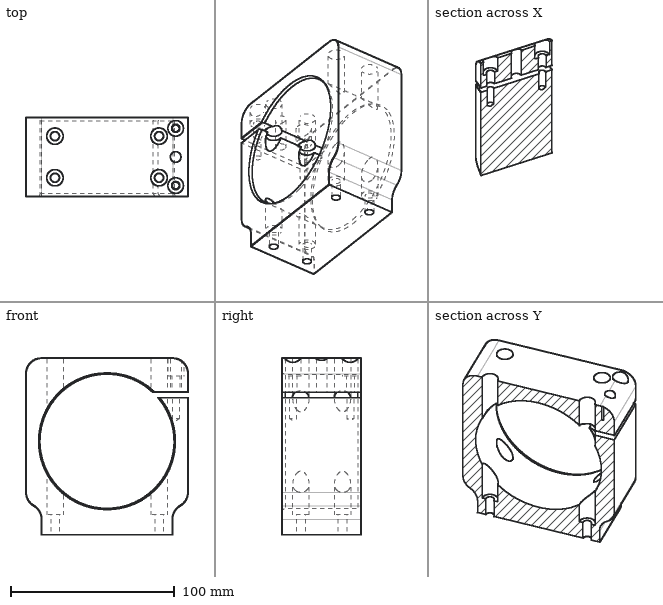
import cadquery as cq
import math

WIDTH = 99.06
DEPTH = 48.26
HEIGHT = 107.95
CORNER_RADIUS = 9.525

FOOT_STEP = CORNER_RADIUS
FOOT_SIDE_HEIGHT = 9.525
STEP_ARC_ANGLE = math.acos(1 - FOOT_STEP / (2 * CORNER_RADIUS))
STEP_HEIGHT = 2 * CORNER_RADIUS * math.sin(STEP_ARC_ANGLE)

BORE_DIAMETER = 81.9
BORE_AXIS_HEIGHT = 57.15
BORE_CHAMFER_WIDTH = 0.8
BORE_CHAMFER_DEPTH = 1.9

SLOT_WIDTH = 3.175
SLOT_BOTTOM = 83.82
SLOT_TOP = SLOT_BOTTOM + SLOT_WIDTH

MOUNT_SPACING_X = 63.5
MOUNT_SPACING_Y = 25.4
MOUNT_HOLE_DIAMETER = 5.3
MOUNT_HEAD_DIAMETER = 10.0
MOUNT_SEAT_HEIGHT = 12.7

EDGE_CHAMFER = 0.254

CLAMP_X = 41.9
CLAMP_SPACING_Y = 34.925
CLAMP_HEAD_DIAMETER = 9.525
CLAMP_SEAT_HEIGHT = 97.0
CLAMP_CLEARANCE_DIAMETER = 5.0
CLAMP_TAP_DIAMETER = 4.2
CLAMP_TAP_DEPTH = 12.7
DRILL_POINT_ANGLE = 118
JACK_HOLE_DIAMETER = 6.5


def upright_cylinder(x, y, diameter, bottom, top):
    """Vertical cylinder between two heights."""
    return (
        cq.Workplane("XY", origin=(x, y, bottom))
        .circle(diameter / 2)
        .extrude(top - bottom)
    )


def drilled_hole(x, y, diameter, depth, top):
    """Blind vertical hole ending in a conical drill point."""
    radius = diameter / 2
    point_depth = radius / math.tan(math.radians(DRILL_POINT_ANGLE / 2))
    return (
        cq.Workplane("XZ", origin=(x, y, top))
        .lineTo(radius, 0)
        .lineTo(radius, -depth)
        .lineTo(0, -depth - point_depth)
        .close()
        .revolve(360, (0, 0, 0), (0, 1, 0))
    )


def block():
    """Rounded body with a narrower foot."""
    side = WIDTH / 2
    foot_side = side - FOOT_STEP
    step_top = FOOT_SIDE_HEIGHT + STEP_HEIGHT
    step_middle = ((side + foot_side) / 2, (FOOT_SIDE_HEIGHT + step_top) / 2)
    along = CORNER_RADIUS * math.sin(STEP_ARC_ANGLE / 2)
    across = CORNER_RADIUS * (1 - math.cos(STEP_ARC_ANGLE / 2))
    lower_arc_point = (foot_side + across, FOOT_SIDE_HEIGHT + along)
    upper_arc_point = (side - across, step_top - along)

    right_half = (
        cq.Workplane("XZ", origin=(0, DEPTH / 2, 0))
        .lineTo(foot_side, 0)
        .lineTo(foot_side, FOOT_SIDE_HEIGHT)
        .threePointArc(lower_arc_point, step_middle)
        .threePointArc(upper_arc_point, (side, step_top))
        .lineTo(side, HEIGHT - CORNER_RADIUS)
        .radiusArc((side - CORNER_RADIUS, HEIGHT), -CORNER_RADIUS)
        .lineTo(0, HEIGHT)
        .close()
        .extrude(DEPTH)
    )
    return right_half.union(right_half.mirror("YZ")).clean()


def bore():
    """Main bore with a chamfer at each mouth."""
    radius = BORE_DIAMETER / 2
    half_depth = DEPTH / 2
    return (
        cq.Workplane("XY", origin=(0, 0, BORE_AXIS_HEIGHT))
        .moveTo(0, -half_depth)
        .lineTo(radius + BORE_CHAMFER_WIDTH, -half_depth)
        .lineTo(radius, -half_depth + BORE_CHAMFER_DEPTH)
        .lineTo(radius, half_depth - BORE_CHAMFER_DEPTH)
        .lineTo(radius + BORE_CHAMFER_WIDTH, half_depth)
        .lineTo(0, half_depth)
        .close()
        .revolve(360, (0, 0, 0), (0, 1, 0))
    )


def slot():
    """Clamping gap running from the bore axis out through the +X side."""
    return (
        cq.Workplane("XY", origin=(0, 0, SLOT_BOTTOM))
        .box(WIDTH / 2, DEPTH, SLOT_WIDTH, centered=(False, True, False))
    )


def mounting_hole(x, y):
    """Through hole with a deep counterbore that crosses the main bore."""
    shank = upright_cylinder(x, y, MOUNT_HOLE_DIAMETER, 0, MOUNT_SEAT_HEIGHT)
    head = upright_cylinder(x, y, MOUNT_HEAD_DIAMETER, MOUNT_SEAT_HEIGHT, HEIGHT)
    return shank.union(head)


def clamp_hole(x, y):
    """Counterbored clearance above the slot and a blind tapped hole below it."""
    head = upright_cylinder(x, y, CLAMP_HEAD_DIAMETER, CLAMP_SEAT_HEIGHT, HEIGHT)
    shank = upright_cylinder(x, y, CLAMP_CLEARANCE_DIAMETER, SLOT_BOTTOM, CLAMP_SEAT_HEIGHT)
    tapped = drilled_hole(x, y, CLAMP_TAP_DIAMETER, CLAMP_TAP_DEPTH, SLOT_BOTTOM)
    return head.union(shank).union(tapped)


result = block().cut(slot()).faces("<Y or >Y").chamfer(EDGE_CHAMFER).cut(bore())

for y_side in (-1, 1):
    for x_side in (-1, 1):
        hole = mounting_hole(x_side * MOUNT_SPACING_X / 2, y_side * MOUNT_SPACING_Y / 2)
        result = result.cut(hole)
    result = result.cut(clamp_hole(CLAMP_X, y_side * CLAMP_SPACING_Y / 2))

result = result.cut(upright_cylinder(CLAMP_X, 0, JACK_HOLE_DIAMETER, SLOT_TOP, HEIGHT))